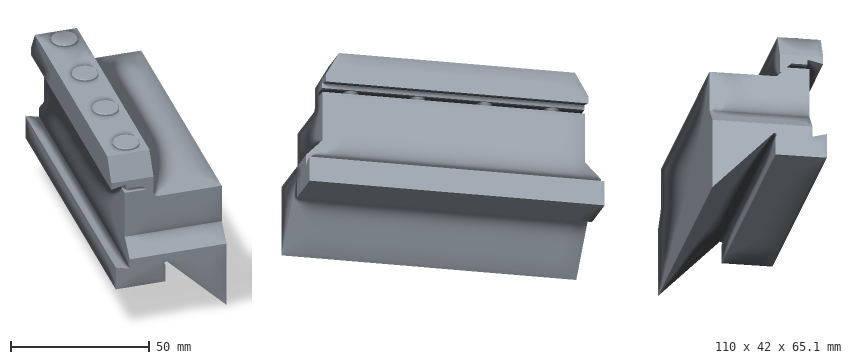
import cadquery as cq
import math


length = 110.0
depth = 42.0
front_depth = 36.7
rear_top = 47.1
slot_floor = 50.7
foot_bottom = 14.3
foot_back_depth = 23.2
lip_valley = 22.1
lip_tip = 23.5
seat_rise = 22.3
seat_fillet = 1.6

relief_radius = 0.72
relief_depth = 22.9
relief_height = 21.9

end_inset = 6.0
shoulder_bottom = 26.1
shoulder_top = shoulder_bottom + end_inset

clamp_top = 64.2
clamp_back_depth = 25.8
clamp_front_depth = 41.8
clamp_bottom = 48.7
slot_ceiling = 52.4
jaw_step_depth = 36.1
jaw_root = 54.2
jaw_tip = 52.9
end_bevel_run = 5.0
end_bevel_rise = end_bevel_run * math.tan(math.radians(60))

screw_count = 4
screw_pitch = 25.0
screw_depth = 32.7
head_diameter = 9.9
head_height = 0.9
head_chamfer = 0.3
shank_diameter = 5.9

tolerance = 0.1


def outline_point(distance, height):
    """Point in the YZ plane, at a distance in front of the back face."""
    return (-distance, height)


def seat_point(height):
    """Point of the 45 degree seat at a given height."""
    return (height - seat_rise, height)


def make_block():
    relief_top = relief_height + relief_radius
    foot_overlap = foot_back_depth - relief_depth
    relief_end = relief_height - math.sqrt(relief_radius**2 - foot_overlap**2)

    block = (
        cq.Workplane("YZ")
        .polyline([
            (0, 0),
            (0, rear_top),
            outline_point(*seat_point(rear_top)),
            outline_point(*seat_point(slot_floor)),
            outline_point(front_depth, slot_floor),
            outline_point(front_depth, lip_valley),
            outline_point(depth, lip_tip),
            outline_point(depth, foot_bottom),
            outline_point(foot_back_depth, foot_bottom),
            outline_point(foot_back_depth, relief_end),
        ])
        .threePointArc(
            outline_point(relief_depth + relief_radius, relief_height),
            outline_point(relief_depth, relief_top),
        )
        .lineTo(*outline_point(relief_top, relief_top))
        .close()
        .extrude(length / 2, both=True)
    )

    seat_foot = seat_point(rear_top)[0]
    seat_foot_edge = cq.selectors.BoxSelector(
        (-length, -seat_foot - tolerance, rear_top - tolerance),
        (length, -seat_foot + tolerance, rear_top + tolerance),
    )
    return block.edges(seat_foot_edge).fillet(seat_fillet)


def make_clamp():
    corners = [
        (clamp_back_depth, clamp_top),
        (clamp_front_depth, clamp_top),
        (clamp_front_depth, jaw_tip),
        (jaw_step_depth, jaw_root),
        (jaw_step_depth, slot_ceiling),
        seat_point(slot_ceiling),
        seat_point(clamp_bottom),
        (clamp_back_depth, clamp_bottom),
    ]
    outline = [outline_point(*corner) for corner in corners]
    return cq.Workplane("YZ").polyline(outline).close().extrude(length / 2, both=True)


def make_end_envelope():
    """Front outline that steps and bevels both ends of the block and clamp."""
    half = length / 2
    upper_half = half - end_inset
    right_side = [
        (half, 0),
        (half, shoulder_bottom),
        (upper_half, shoulder_top),
        (upper_half, clamp_top - end_bevel_rise),
        (upper_half - end_bevel_run, clamp_top),
    ]
    left_side = [(-x, z) for x, z in reversed(right_side)]
    return cq.Workplane("XZ").polyline(right_side + left_side).close().extrude(depth)


def make_screws():
    shanks_and_heads = cq.Workplane("XY")
    for index in range(screw_count):
        x = (index - (screw_count - 1) / 2) * screw_pitch
        shank = (
            cq.Workplane("XY", origin=(x, -screw_depth, slot_floor))
            .circle(shank_diameter / 2)
            .extrude(clamp_top - slot_floor)
        )
        head = (
            cq.Workplane("XY", origin=(x, -screw_depth, clamp_top))
            .circle(head_diameter / 2)
            .extrude(head_height)
            .faces(">Z")
            .chamfer(head_chamfer)
        )
        shanks_and_heads = shanks_and_heads.add(shank).add(head)
    return shanks_and_heads.combine()


body = make_block().union(make_clamp()).intersect(make_end_envelope())
result = body.union(make_screws())